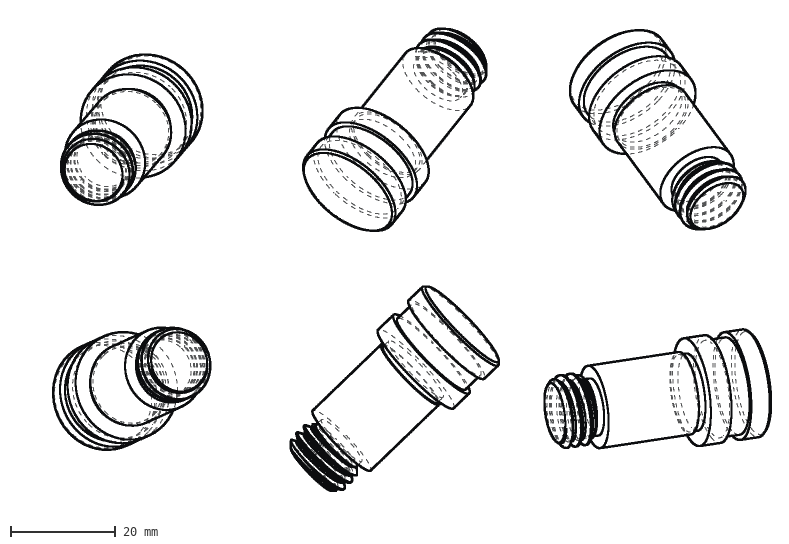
import cadquery as cq
import math

total_length = 40.5

head_diameter = 20.9
head_length = 12.5
head_chamfer = 0.5
head_groove_diameter = 18.87
head_groove_width = 4.05

shank_diameter = 16.0
shank_neck_diameter = 15.0
thread_neck_diameter = 11.1
neck_length = 1.5

thread_length = 6.52
thread_diameter = 14.0
thread_end_diameter = 11.5
thread_pitch = 2.0
groove_phase = 1.85
groove_root_width = thread_pitch / 4
flank_angle = math.radians(30)
thread_depth = 5 / 8 * thread_pitch * math.cos(flank_angle)

overlap = 0.2
run_out_turns = 2
shank_start = thread_length + neck_length
head_start = total_length - head_length
neck_start = head_start - neck_length
flange_width = (head_length - head_groove_width) / 2


def cylinder(diameter, start, length):
    """Solid cylinder along Z, from the given height."""
    return cq.Workplane("XY").workplane(offset=start).circle(diameter / 2).extrude(length)


def make_head():
    head = cylinder(head_diameter, head_start, head_length)
    head = head.faces(">Z").chamfer(head_chamfer)
    groove_start = head_start + flange_width
    ring = cylinder(head_diameter + overlap, groove_start, head_groove_width)
    core = cylinder(head_groove_diameter, groove_start, head_groove_width)
    return head.cut(ring.cut(core))


def make_shank():
    shank = cylinder(shank_diameter, shank_start, neck_start - shank_start)
    return shank.union(cylinder(shank_neck_diameter, neck_start, neck_length))


def make_thread_groove():
    """Helical cutter running out past both ends of the threaded length."""
    root_radius = thread_diameter / 2 - thread_depth
    outer_radius = thread_diameter / 2 + overlap
    root_half = groove_root_width / 2
    outer_half = root_half + (outer_radius - root_radius) * math.tan(flank_angle)
    start = groove_phase - run_out_turns * thread_pitch
    turns = math.ceil((thread_length - start) / thread_pitch) + 1
    path = cq.Wire.makeHelix(thread_pitch, turns * thread_pitch, root_radius)
    path = path.translate(cq.Vector(0, 0, start))
    profile = cq.Workplane("XZ").polyline([
        (root_radius, start - root_half),
        (outer_radius, start - outer_half),
        (outer_radius, start + outer_half),
        (root_radius, start + root_half),
    ]).close()
    return profile.sweep(cq.Workplane(obj=path), isFrenet=True)


def make_threaded_end():
    rod = cylinder(thread_diameter, -thread_pitch, thread_length + 2 * thread_pitch)
    envelope = cylinder(thread_diameter + overlap, 0, thread_length)
    chamfer = (thread_diameter + overlap - thread_end_diameter) / 2
    envelope = envelope.faces("<Z or >Z").chamfer(chamfer)
    return rod.cut(make_thread_groove()).intersect(envelope)


thread_neck = cylinder(thread_neck_diameter, thread_length, neck_length)
turned_part = make_head().union(make_shank()).union(thread_neck).union(make_threaded_end())

result = turned_part.rotate((0, 0, 0), (1, 0, 0), -90)